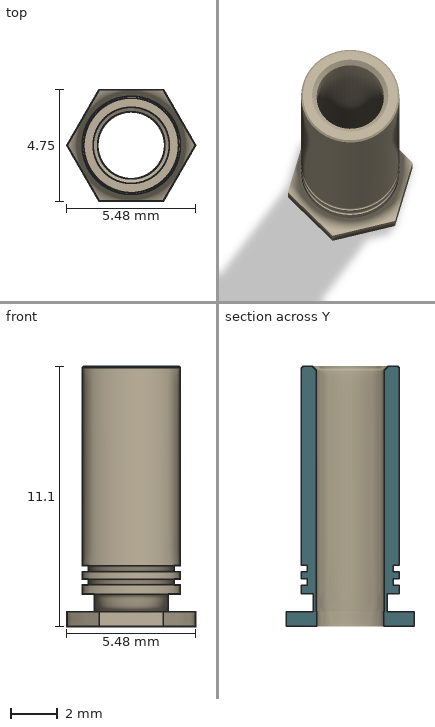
import cadquery as cq
import math

head_sides = 6
head_across_flats = 4.75
head_across_corners = head_across_flats / math.cos(math.pi / head_sides)
head_height = 0.64

body_diameter = 4.19
groove_diameter = 3.68
neck_diameter = 3.17

total_height = 11.11
neck_length = 0.75
collar_width = 0.39
groove_width = 0.25
ring_width = 0.32
rim_chamfer = 0.076

head_hole_diameter = 2.85
bore_diameter = 2.87
bore_mouth_diameter = 3.25
bore_mouth_depth = (bore_mouth_diameter - bore_diameter) / 2


def make_head():
    """Hexagonal flange with two corners on the X axis."""
    return cq.Workplane("XY").polygon(head_sides, head_across_corners).extrude(head_height)


def make_section(bottom, length, diameter):
    """Cylindrical stretch of the barrel starting at height bottom."""
    return cq.Workplane("XY").workplane(offset=bottom).circle(diameter / 2).extrude(length)


def make_barrel():
    """Neck, collar, two grooves with a ring between them, and the long body."""
    lower_sections = [
        (neck_length, neck_diameter),
        (collar_width, body_diameter),
        (groove_width, groove_diameter),
        (ring_width, body_diameter),
        (groove_width, groove_diameter),
    ]
    body_bottom = head_height + sum(length for length, _ in lower_sections)
    barrel = make_section(body_bottom, total_height - body_bottom, body_diameter)
    barrel = barrel.faces(">Z").edges().chamfer(rim_chamfer)

    bottom = head_height
    for length, diameter in lower_sections:
        barrel = barrel.union(make_section(bottom, length, diameter))
        bottom += length
    return barrel


def make_bore():
    """Through bore, slightly narrower in the head, with a countersunk mouth at the top."""
    head_hole_radius = head_hole_diameter / 2
    bore_radius = bore_diameter / 2
    half_profile = [
        (0, 0),
        (head_hole_radius, 0),
        (head_hole_radius, head_height),
        (bore_radius, head_height),
        (bore_radius, total_height - bore_mouth_depth),
        (bore_mouth_diameter / 2, total_height),
        (0, total_height),
    ]
    return cq.Workplane("XZ").polyline(half_profile).close().revolve(360, (0, 0, 0), (0, 1, 0))


result = make_head().union(make_barrel()).cut(make_bore())